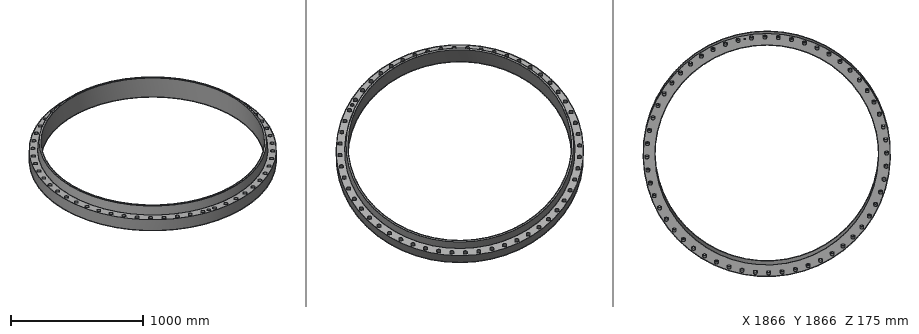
import cadquery as cq

outer_radius = 933.0
bore_radius = 844.0
total_height = 175.0
flange_height = 100.0
hub_base_radius = 870.0
hub_top_radius = 859.0

bolt_count = 56
bolt_circle_radius = 905.0
bolt_hole_diameter = 30.0
bolt_pitch_angle = 360.0 / bolt_count

port_diameter = 25.0
port_depth = flange_height / 2
port_pilot_diameter = 10.0
port_angle = bolt_pitch_angle / 2


def make_ring():
    """Flat flange with a tapered hub, revolved around Z."""
    return (
        cq.Workplane("XZ")
        .moveTo(bore_radius, 0)
        .lineTo(outer_radius, 0)
        .lineTo(outer_radius, flange_height)
        .lineTo(hub_base_radius, flange_height)
        .lineTo(hub_top_radius, total_height)
        .lineTo(bore_radius, total_height)
        .close()
        .revolve(360, (0, 0, 0), (0, 1, 0))
    )


def make_bolt_holes():
    """Through holes evenly spaced on the bolt circle, the first one on +X."""
    return (
        cq.Workplane("XY")
        .polarArray(bolt_circle_radius, 0, 360, bolt_count)
        .circle(bolt_hole_diameter / 2)
        .extrude(flange_height)
    )


def make_port():
    """Small through hole, widened from the flange top down to mid-thickness."""
    return (
        cq.Workplane("XY", origin=(bolt_circle_radius, 0, 0))
        .circle(port_pilot_diameter / 2)
        .extrude(flange_height)
        .faces(">Z")
        .workplane()
        .circle(port_diameter / 2)
        .extrude(-port_depth)
        .rotate((0, 0, 0), (0, 0, 1), port_angle)
    )


result = make_ring().cut(make_bolt_holes()).cut(make_port())